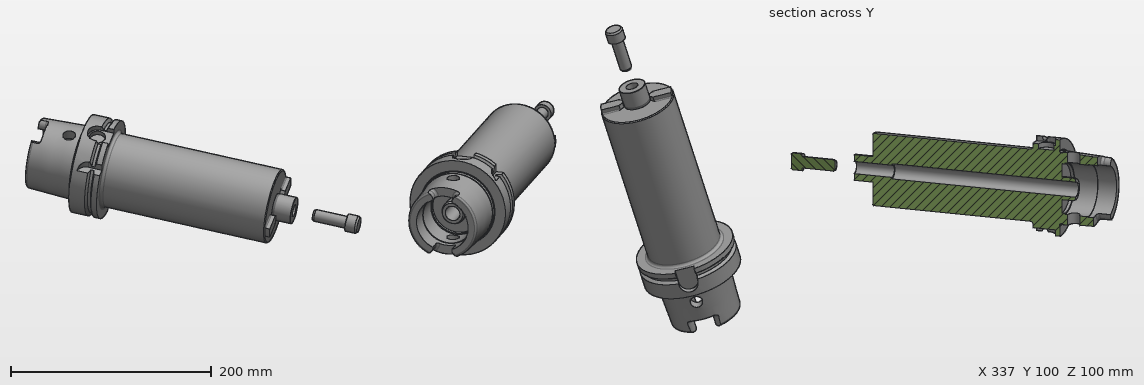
import cadquery as cq


flange_start = 50.0
flange_end = 79.0
body_end = 250.0
pilot_end = 269.5

flange_radius = 100.0 / 2
body_radius = 75.0 / 2
nose_radius = 35.7
nose_rounding = 2.0
taper_end_radius = 37.7
body_fillet = 3.0
body_chamfer = 1.0

relief_start = 46.5
relief_radius = 36.7
relief_taper = 1.0
relief_flat = 1.0
relief_depth = 0.7
relief_floor_inner_radius = 37.7
relief_floor_outer_radius = 38.5
relief_outer_radius = 39.0

groove_centre = 69.8
groove_root_radius = 46.2
groove_root_width = 3.0
groove_mouth_width = 6.7

pilot_radius = 27.0 / 2
pilot_neck_radius = 26.5 / 2
pilot_neck_length = 1.0
pilot_neck_taper = 1.0
pilot_chamfer = 0.5

mouth_radius = 54.0 / 2
mouth_depth = 20.0
cavity_radius = 53.0 / 2
cavity_end = 44.5
inner_bore_radius = 25.3
inner_bore_floor = 48.0

stub_radius = 24.0 / 2
stub_tip_radius = 10.8
stub_start = 33.5
stub_chamfer_length = 2.7

bore_radius = 15.0 / 2
thread_radius = 12.0 / 2
thread_length = 40.5

slot_width = 20.0
upper_slot_depth = 9.8
lower_slot_depth = 14.0
slot_mouth_radius = 6.7
slot_mouth_height = 25.5
slot_end_fillet = 2.7

radial_hole_radius = 12.5 / 2
radial_hole_x = 35.5
radial_hole_floor = 23.5

pocket_radius = 9.8
pocket_centre_x = 64.7
keyway_floor = 43.8
side_pocket_floor = 31.7
side_pocket_wall_y = -31.0
chip_hole_radius = 16.0 / 2
chip_hole_depth = 5.0

key_width = 12.0
key_height = 5.0
key_inner_y = 13.8
key_point_chamfer = 4.7
key_base_fillet = 1.0

screw_tip = 289.8
screw_head_start = 325.0
screw_end = 337.0
screw_radius = 12.0 / 2
screw_tip_radius = 9.8 / 2
screw_tip_length = 2.0
head_radius = 18.0 / 2
head_end_radius = 15.0 / 2
head_chamfer_length = 2.0


def turned(points):
    """Revolve (x, radius) points about the X axis."""
    return cq.Workplane("XY").polyline(points).close().revolve(360, (0, 0, 0), (1, 0, 0))


def rod(radius, start, end):
    """Round bar on the X axis."""
    return cq.Workplane("YZ", origin=(start, 0, 0)).circle(radius).extrude(end - start)


def holder_blank():
    """Turned outside: taper, relief, grooved flange, body and pilot."""
    taper_foot = relief_start + relief_taper
    relief_corner = taper_foot + relief_flat
    relief_floor = flange_start + relief_depth
    mouth = groove_mouth_width / 2
    root = groove_root_width / 2
    return (
        cq.Workplane("XY")
        .moveTo(0, 0)
        .lineTo(0, nose_radius - nose_rounding)
        .radiusArc((nose_rounding, nose_radius), nose_rounding)
        .lineTo(relief_start, taper_end_radius)
        .lineTo(taper_foot, relief_radius)
        .lineTo(relief_corner, relief_radius)
        .lineTo(relief_floor, relief_floor_inner_radius)
        .lineTo(relief_floor, relief_floor_outer_radius)
        .lineTo(flange_start, relief_outer_radius)
        .lineTo(flange_start, flange_radius)
        .lineTo(groove_centre - mouth, flange_radius)
        .lineTo(groove_centre - root, groove_root_radius)
        .lineTo(groove_centre + root, groove_root_radius)
        .lineTo(groove_centre + mouth, flange_radius)
        .lineTo(flange_end, flange_radius)
        .lineTo(flange_end, body_radius + body_fillet)
        .radiusArc((flange_end + body_fillet, body_radius), -body_fillet)
        .lineTo(body_end - body_chamfer, body_radius)
        .lineTo(body_end, body_radius - body_chamfer)
        .lineTo(body_end, pilot_neck_radius)
        .lineTo(body_end + pilot_neck_length, pilot_neck_radius)
        .lineTo(body_end + pilot_neck_length + pilot_neck_taper, pilot_radius)
        .lineTo(pilot_end - pilot_chamfer, pilot_radius)
        .lineTo(pilot_end, pilot_radius - pilot_chamfer)
        .lineTo(pilot_end, 0)
        .close()
        .revolve(360, (0, 0, 0), (1, 0, 0))
    )


def axial_bore():
    """Clamping cavity around the coolant stub, then the stub bore and screw thread."""
    thread_start = pilot_end - thread_length
    return turned([
        (0, 0),
        (0, mouth_radius),
        (mouth_depth, mouth_radius),
        (mouth_depth, cavity_radius),
        (cavity_end, cavity_radius),
        (cavity_end, inner_bore_radius),
        (inner_bore_floor, inner_bore_radius),
        (inner_bore_floor, stub_radius),
        (stub_start + stub_chamfer_length, stub_radius),
        (stub_start, stub_tip_radius),
        (stub_start, bore_radius),
        (thread_start, bore_radius),
        (thread_start, thread_radius),
        (pilot_end, thread_radius),
        (pilot_end, 0),
    ])


def drive_slot(depth, side):
    """Slot cutter through the rim above (side 1) or below (side -1), flared at its mouth."""
    half = slot_width / 2
    flare = half + slot_mouth_radius
    flare_top = slot_mouth_height + slot_mouth_radius
    slot = (
        cq.Workplane("YZ")
        .moveTo(-half, 0)
        .lineTo(-half, slot_mouth_height)
        .radiusArc((-flare, flare_top), -slot_mouth_radius)
        .lineTo(-flare, flange_radius)
        .lineTo(flare, flange_radius)
        .lineTo(flare, flare_top)
        .radiusArc((half, slot_mouth_height), -slot_mouth_radius)
        .lineTo(half, 0)
        .close()
        .extrude(depth)
    )
    slot = slot.faces(">X").edges("not #Y").fillet(slot_end_fillet)
    return slot if side > 0 else slot.mirror("XY")


def radial_hole():
    """Upper cross hole, drilled through the taper wall into the cavity."""
    return (
        cq.Workplane("XY", origin=(radial_hole_x, 0, radial_hole_floor))
        .circle(radial_hole_radius)
        .extrude(taper_end_radius - radial_hole_floor)
    )


def round_end_pocket(centre_y, floor_z):
    """Upright pocket cutter with a round end, open through the back of the flange."""
    return (
        cq.Workplane("XY", origin=(pocket_centre_x, centre_y, floor_z))
        .moveTo(0, pocket_radius)
        .threePointArc((-pocket_radius, 0), (0, -pocket_radius))
        .lineTo(flange_end - pocket_centre_x, -pocket_radius)
        .lineTo(flange_end - pocket_centre_x, pocket_radius)
        .close()
        .extrude(flange_radius - floor_z)
    )


def chip_hole():
    """Round blind hole for a data chip in the floor of the upper keyway."""
    return (
        cq.Workplane("XY", origin=(pocket_centre_x, 0, keyway_floor - chip_hole_depth))
        .circle(chip_hole_radius)
        .extrude(chip_hole_depth)
    )


def drive_key(side):
    """Radial key with filleted feet and a pointed inner end, flush with the end face rim."""
    half = key_width / 2
    foot = half + key_base_fillet
    point = foot - key_point_chamfer
    key_end = body_end + key_height
    bar = (
        cq.Workplane("XZ")
        .moveTo(body_end, -foot)
        .radiusArc((body_end + key_base_fillet, -half), key_base_fillet)
        .lineTo(key_end, -half)
        .lineTo(key_end, half)
        .lineTo(body_end + key_base_fillet, half)
        .radiusArc((body_end, foot), key_base_fillet)
        .close()
        .extrude(-body_radius)
    )
    outline = (
        cq.Workplane("YZ", origin=(body_end, 0, 0))
        .moveTo(key_inner_y, -point)
        .lineTo(key_inner_y + key_point_chamfer, -foot)
        .lineTo(body_radius, -foot)
        .lineTo(body_radius, foot)
        .lineTo(key_inner_y + key_point_chamfer, foot)
        .lineTo(key_inner_y, point)
        .close()
        .extrude(key_height)
    )
    key = bar.intersect(outline).intersect(rod(body_radius - body_chamfer, body_end, key_end))
    return key if side > 0 else key.mirror("XZ")


def make_holder():
    """Holder with its bores, slots, pockets and drive keys."""
    holder = holder_blank().cut(axial_bore())
    holder = holder.cut(drive_slot(upper_slot_depth, 1)).cut(drive_slot(lower_slot_depth, -1))
    drilling = radial_hole()
    holder = holder.cut(drilling).cut(drilling.mirror("XY"))
    keyway = round_end_pocket(0, keyway_floor)
    holder = holder.cut(keyway).cut(keyway.mirror("XY"))
    holder = holder.cut(round_end_pocket(side_pocket_wall_y - pocket_radius, side_pocket_floor))
    holder = holder.cut(chip_hole())
    for side in (1, -1):
        holder = holder.union(drive_key(side))
    return holder


def make_screw():
    """Cap screw lying ahead of the pilot, head facing away from it."""
    return turned([
        (screw_tip, 0),
        (screw_tip, screw_tip_radius),
        (screw_tip + screw_tip_length, screw_radius),
        (screw_head_start, screw_radius),
        (screw_head_start, head_radius),
        (screw_end - head_chamfer_length, head_radius),
        (screw_end, head_end_radius),
        (screw_end, 0),
    ])


holder = make_holder()
screw = make_screw()
result = cq.Compound.makeCompound([holder.val(), screw.val()])